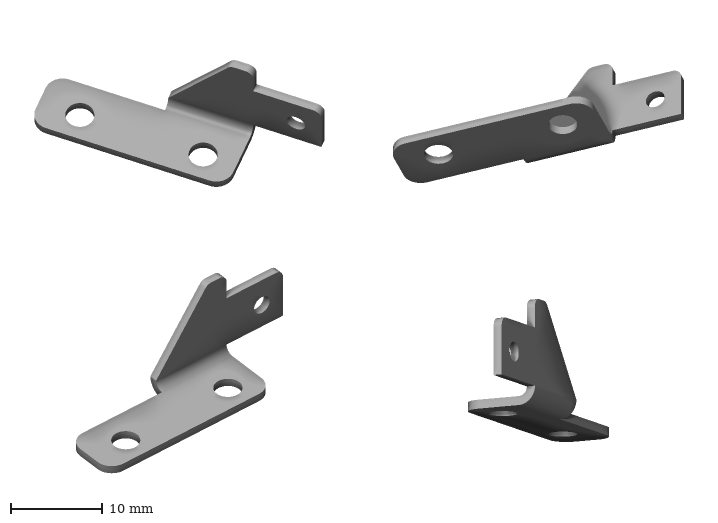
import cadquery as cq

thickness = 1.0
bend_outer_radius = 2 * thickness
bend_inner_radius = bend_outer_radius - thickness

total_length = 31.3
total_depth = 9.0
total_height = 11.8

base_length = 23.3
base_depth = total_depth - bend_outer_radius
base_corner_radius = 2.0
base_hole_diameter = 3.2
base_hole_y = 3.0
base_hole_first_x = 4.82
base_hole_spacing = 14.52

bend_width = 10.02
bend_start_x = base_length - bend_width
tab_top_z = 8.48
peak_corner_x = 20.6
upright_corner_radius = 1.0
peak_slope_radius = 1.0
tab_hole_diameter = 2.2
tab_hole_x = 28.3
tab_hole_z = 5.0


def make_base():
    plate = cq.Workplane("XY").box(base_length, base_depth, thickness, centered=False)
    plate = plate.edges("|Z and (<X or <Y)").fillet(base_corner_radius)
    hole_centres = [(base_hole_first_x + i * base_hole_spacing, base_hole_y) for i in range(2)]
    holes = (
        cq.Workplane("XY")
        .pushPoints(hole_centres)
        .circle(base_hole_diameter / 2)
        .extrude(thickness)
    )
    return plate.cut(holes)


def make_bend():
    """Quarter ring joining the base plate to the upright plate."""
    diagonal = 0.5 ** 0.5
    centre_y = base_depth
    centre_z = bend_outer_radius
    return (
        cq.Workplane("YZ", origin=(bend_start_x, 0, 0))
        .moveTo(centre_y, 0)
        .threePointArc(
            (centre_y + bend_outer_radius * diagonal, centre_z - bend_outer_radius * diagonal),
            (total_depth, centre_z),
        )
        .lineTo(total_depth - thickness, centre_z)
        .threePointArc(
            (centre_y + bend_inner_radius * diagonal, centre_z - bend_inner_radius * diagonal),
            (centre_y, thickness),
        )
        .close()
        .extrude(bend_width)
    )


def round_upright_corner(plate, x, z, radius):
    """Fillet the edge that runs through the plate at the given corner."""
    corner = cq.selectors.NearestToPointSelector((x, total_depth - thickness / 2, z))
    return plate.edges("|Y").edges(corner).fillet(radius)


def make_upright():
    outline = [
        (bend_start_x, bend_outer_radius),
        (total_length, bend_outer_radius),
        (total_length, tab_top_z),
        (base_length, tab_top_z),
        (base_length, total_height),
        (peak_corner_x, total_height),
    ]
    back = cq.Workplane("XZ", origin=(0, total_depth, 0))
    plate = back.polyline(outline).close().extrude(thickness)
    plate = round_upright_corner(plate, total_length, tab_top_z, upright_corner_radius)
    plate = round_upright_corner(plate, base_length, total_height, upright_corner_radius)
    plate = round_upright_corner(plate, peak_corner_x, total_height, peak_slope_radius)
    hole = back.center(tab_hole_x, tab_hole_z).circle(tab_hole_diameter / 2).extrude(thickness)
    return plate.cut(hole)


result = make_base().union(make_bend()).union(make_upright())